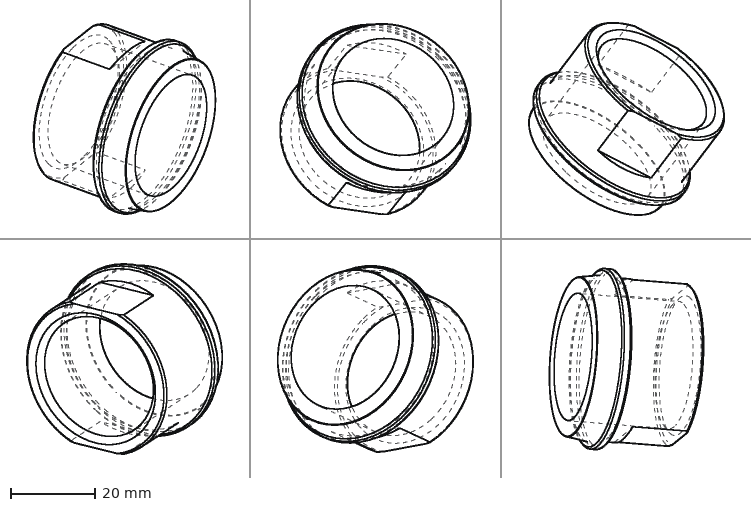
import cadquery as cq
import math

LENGTH = 26.5
COLLAR_START = 18.5
COLLAR_END = 21.0
FLAT_LENGTH = 13.98

COLLAR_RADIUS = 21.5
BODY_RADIUS = 39.0 / 2
BORE_RADIUS = 30.27 / 2
CONE_END_RADIUS = 19.0
FLAT_HEIGHT = 18.0

BODY_CHAMFER = 0.5
COLLAR_CHAMFER = 0.5
ROOT_FILLET = 0.4
CONE_ROOT_FILLET = 0.35
CONE_END_CHAMFER = 0.15
CONE_ANGLE = 9.0
ENTRY_CHAMFER = 1.5
FLAT_END_ANGLE = 75.0


def edges_at(body, x, radius):
    """Circular edges centred on the X axis at the given station and radius."""
    def matches(edge):
        centre = edge.Center()
        tolerance = 0.0005
        if edge.geomType() != "CIRCLE":
            return False
        return abs(centre.x - x) < tolerance and abs(edge.radius() - radius) < tolerance

    return body.newObject([edge for edge in body.edges().vals() if matches(edge)])


def make_ring():
    """Revolved sleeve with a cylindrical body, a collar and a tapered nose."""
    cone_root_radius = CONE_END_RADIUS + (LENGTH - COLLAR_END) * math.tan(math.radians(CONE_ANGLE))
    ring = (
        cq.Workplane("XY")
        .moveTo(0, BORE_RADIUS)
        .lineTo(0, BODY_RADIUS)
        .lineTo(COLLAR_START, BODY_RADIUS)
        .lineTo(COLLAR_START, COLLAR_RADIUS)
        .lineTo(COLLAR_END, COLLAR_RADIUS)
        .lineTo(COLLAR_END, cone_root_radius)
        .lineTo(LENGTH, CONE_END_RADIUS)
        .lineTo(LENGTH, BORE_RADIUS)
        .close()
        .revolve(360, (0, 0, 0), (1, 0, 0))
    )
    ring = edges_at(ring, COLLAR_START, BODY_RADIUS).fillet(ROOT_FILLET)
    ring = edges_at(ring, COLLAR_END, cone_root_radius).fillet(CONE_ROOT_FILLET)
    for x in (COLLAR_START, COLLAR_END):
        ring = edges_at(ring, x, COLLAR_RADIUS).chamfer(COLLAR_CHAMFER)
    ring = edges_at(ring, 0, BODY_RADIUS).chamfer(BODY_CHAMFER)
    ring = edges_at(ring, 0, BORE_RADIUS).chamfer(ENTRY_CHAMFER)
    return edges_at(ring, LENGTH, CONE_END_RADIUS).chamfer(CONE_END_CHAMFER)


def make_flat_cutter():
    """Material above the upper flat, ending in a sloped face."""
    cutter_height = COLLAR_RADIUS - FLAT_HEIGHT
    slope_run = cutter_height / math.tan(math.radians(FLAT_END_ANGLE))
    return (
        cq.Workplane("XZ")
        .moveTo(0, FLAT_HEIGHT)
        .lineTo(FLAT_LENGTH, FLAT_HEIGHT)
        .lineTo(FLAT_LENGTH + slope_run, COLLAR_RADIUS)
        .lineTo(0, COLLAR_RADIUS)
        .close()
        .extrude(COLLAR_RADIUS, both=True)
    )


upper_flat = make_flat_cutter()
lower_flat = upper_flat.mirror("XY")
result = make_ring().cut(upper_flat).cut(lower_flat)